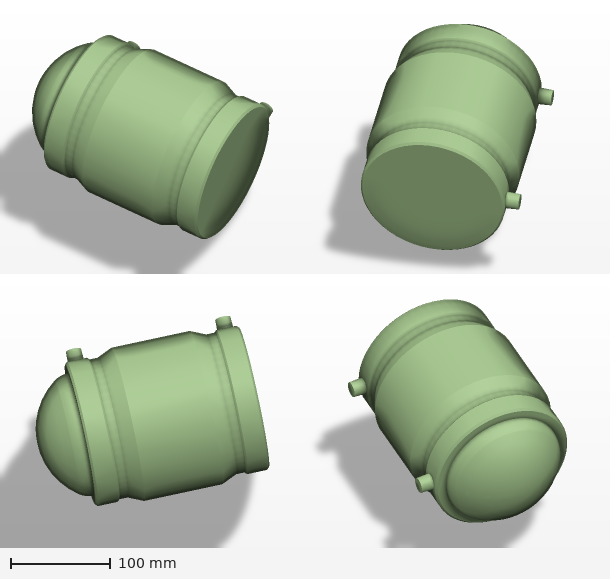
import cadquery as cq
import math

length = 222.0
shell_diameter = 157.0
collar_diameter = 147.6
neck_diameter = 143.2
dome_diameter = 125.0

collar_width = 24.9
neck_width = 8.5
shoulder_width = 15.5
dome_height = 44.0
chamfer = (collar_diameter - neck_diameter) / 2

crown_radius = 71.0
knuckle_radius = 24.5

port_base_diameter = 16.6
port_top_diameter = 15.5
overall_depth = 165.5
port_top = overall_depth - shell_diameter / 2
port_root = 68.8


def make_dome():
    dome_radius = dome_diameter / 2
    knuckle_offset = dome_radius - knuckle_radius
    angle = math.asin(knuckle_offset / (crown_radius - knuckle_radius))
    knuckle_x = crown_radius - (crown_radius - knuckle_radius) * math.cos(angle)

    def crown_point(a):
        return (crown_radius * (1 - math.cos(a)), crown_radius * math.sin(a))

    half_knuckle = (math.pi / 2 + angle) / 2
    knuckle_middle = (
        knuckle_x - knuckle_radius * math.cos(half_knuckle),
        knuckle_offset + knuckle_radius * math.sin(half_knuckle),
    )
    inner_end = dome_height + collar_width / 2
    return (
        cq.Workplane("XY")
        .moveTo(0, 0)
        .threePointArc(crown_point(angle / 2), crown_point(angle))
        .threePointArc(knuckle_middle, (knuckle_x, dome_radius))
        .lineTo(inner_end, dome_radius)
        .lineTo(inner_end, 0)
        .close()
        .revolve(360, (0, 0, 0), (1, 0, 0))
    )


def make_body():
    middle = (dome_height + length) / 2
    neck_start = dome_height + collar_width
    neck_end = neck_start + neck_width
    shell_start = neck_end + shoulder_width
    front_half = (
        cq.Workplane("XY")
        .moveTo(dome_height, 0)
        .lineTo(dome_height, neck_diameter / 2)
        .lineTo(dome_height + chamfer, collar_diameter / 2)
        .lineTo(neck_start - chamfer, collar_diameter / 2)
        .lineTo(neck_start, neck_diameter / 2)
        .lineTo(neck_end, neck_diameter / 2)
        .lineTo(shell_start, shell_diameter / 2)
        .lineTo(middle, shell_diameter / 2)
        .lineTo(middle, 0)
        .close()
        .revolve(360, (0, 0, 0), (1, 0, 0))
    )
    return front_half.union(front_half.mirror("YZ", (middle, 0, 0)))


def make_port(x):
    slope = (port_base_diameter - port_top_diameter) / 2 / (port_top - collar_diameter / 2)
    root_radius = port_top_diameter / 2 + slope * (port_top - port_root)
    return cq.Workplane(
        cq.Solid.makeCone(
            root_radius,
            port_top_diameter / 2,
            port_top - port_root,
            cq.Vector(x, port_root, 0),
            cq.Vector(0, 1, 0),
        )
    )


result = make_body().union(make_dome())
for port_x in (dome_height + collar_width / 2, length - collar_width / 2):
    result = result.union(make_port(port_x))